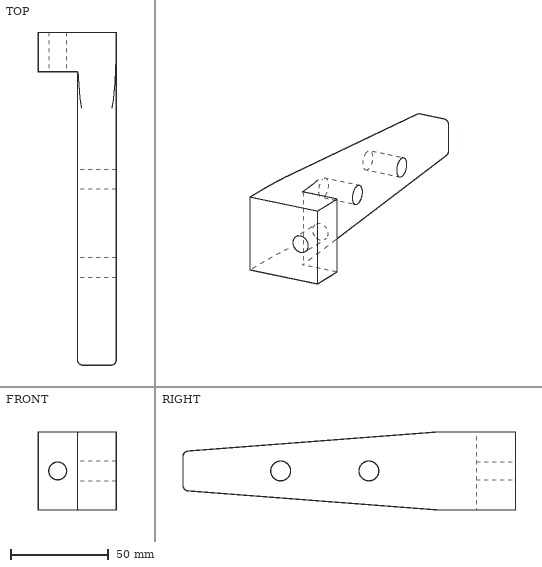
import cadquery as cq

length = 170.0
head_size = 40.0
arm_width = head_size / 2
head_depth = 20.0
tip_height = 20.0
taper_length = 130.0
edge_radius = 3.0

arm_hole_diameter = 10.0
arm_hole_distances = (50.0, 95.0)
head_hole_diameter = 9.0

arm_inner_x = head_size - arm_width
taper_slope = (head_size - tip_height) / 2 / taper_length
wedge_back_half_height = tip_height / 2 + taper_slope * length


def tapered_arm():
    """Rounded wedge, cut flat at the head height where it would grow taller."""
    tip_half_height = tip_height / 2
    wedge = (
        cq.Workplane("YZ", origin=(arm_inner_x, 0, 0))
        .polyline([
            (0, -tip_half_height),
            (length, -wedge_back_half_height),
            (length, wedge_back_half_height),
            (0, tip_half_height),
        ])
        .close()
        .extrude(arm_width)
    )
    rounded = wedge.edges("not(>Y)").fillet(edge_radius)
    height_limit = cq.Workplane("XY").box(head_size, length, head_size, centered=(False, False, True))
    return rounded.intersect(height_limit)


def mounting_head():
    """Square-edged block beside the arm, with a hole along Y."""
    head_front_y = length - head_depth
    block = (
        cq.Workplane("XY", origin=(0, head_front_y, 0))
        .box(arm_inner_x + edge_radius, head_depth, head_size, centered=(False, False, True))
    )
    hole = (
        cq.Workplane("XZ", origin=(arm_inner_x / 2, length, 0))
        .circle(head_hole_diameter / 2)
        .extrude(head_depth)
    )
    return block.cut(hole)


def arm_holes():
    """Holes straight through the arm along X."""
    return (
        cq.Workplane("YZ", origin=(arm_inner_x, 0, 0))
        .pushPoints([(distance, 0) for distance in arm_hole_distances])
        .circle(arm_hole_diameter / 2)
        .extrude(arm_width)
    )


result = tapered_arm().union(mounting_head()).cut(arm_holes())